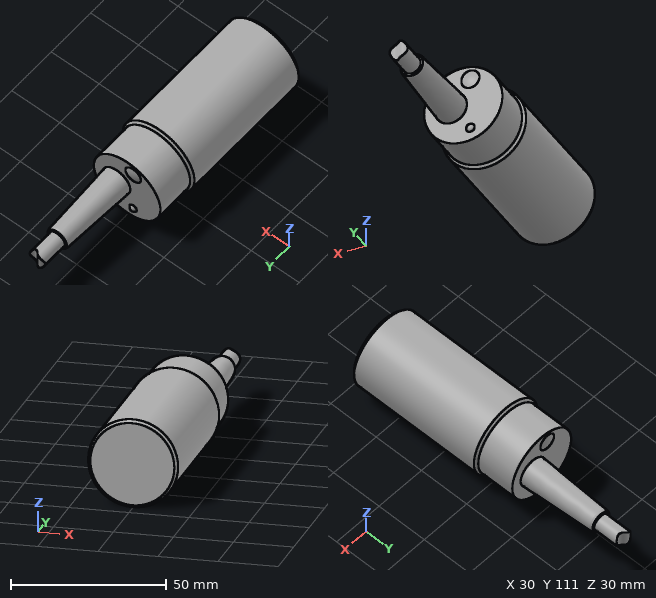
import cadquery as cq

barrel_dia = 30.0
barrel_length = 54.9
front_chamfer = 1.0
shoulder_chamfer = 1.0

cap_dia = 28.0
cap_end = 69.9
rim_bevel_length = 0.9
rim_bevel_width = 0.05

cable_offset = 4.3
boot_base_dia = 11.3
boot_tip_dia = 8.7
boot_end = 100.1
boot_chamfer_length = 1.0
boot_end_dia = 8.1
cable_dia = 6.4
cable_end = 111.0
break_rise = 1.7

dome_x = -2.5
dome_spacing = 18.2
lamp_dia = 3.0
lamp_height = 1.0
trimmer_dia = 6.4
trimmer_height = 0.8


def cylinder(diameter, start, end, x=0):
    """Cylinder along Y between two positions."""
    plane = cq.Plane(origin=(x, start, 0), xDir=(1, 0, 0), normal=(0, 1, 0))
    return cq.Workplane(plane).circle(diameter / 2).extrude(end - start)


def make_body():
    barrel = cylinder(barrel_dia, 0, barrel_length)
    barrel = barrel.faces("<Y").chamfer(front_chamfer)
    barrel = barrel.faces(">Y").chamfer(shoulder_chamfer)
    cap = cylinder(cap_dia, barrel_length, cap_end)
    cap = cap.faces(">Y").chamfer(rim_bevel_length, rim_bevel_width)
    return barrel.union(cap)


def make_boot():
    """Tapered sleeve with a bevelled tip, revolved about the cable axis."""
    return (
        cq.Workplane("XY", origin=(cable_offset, 0, 0))
        .moveTo(0, cap_end)
        .lineTo(boot_base_dia / 2, cap_end)
        .lineTo(boot_tip_dia / 2, boot_end - boot_chamfer_length)
        .lineTo(boot_end_dia / 2, boot_end)
        .lineTo(0, boot_end)
        .close()
        .revolve(360, (0, 0, 0), (0, 1, 0))
    )


def make_cable():
    """Round cable whose end is cut to a wavy break line: one crest, one trough."""
    radius = cable_dia / 2
    middle = cable_end - break_rise / 2
    cable = cylinder(cable_dia, cap_end, cable_end, cable_offset)
    outline = (
        cq.Workplane("XY", origin=(cable_offset, 0, -radius))
        .moveTo(-radius, cap_end)
        .lineTo(-radius, middle)
        .threePointArc((-radius / 2, cable_end), (0, middle))
        .threePointArc((radius / 2, cable_end - break_rise), (radius, middle))
        .lineTo(radius, cap_end)
        .close()
        .extrude(cable_dia)
    )
    return cable.intersect(outline)


def make_dome(diameter, height, z):
    """Spherical cap rising from the rear face of the cap."""
    radius = diameter / 2
    return (
        cq.Workplane("XY", origin=(dome_x, 0, z))
        .moveTo(0, cap_end)
        .lineTo(radius, cap_end)
        .threePointArc(arc_middle(radius, height), (0, cap_end + height))
        .close()
        .revolve(360, (0, 0, 0), (0, 1, 0))
    )


def arc_middle(radius, height):
    """Point on a spherical cap's profile at half its base radius."""
    sphere_radius = (radius**2 + height**2) / (2 * height)
    centre = cap_end + height - sphere_radius
    return (radius / 2, centre + (sphere_radius**2 - (radius / 2) ** 2) ** 0.5)


result = (
    make_body()
    .union(make_boot())
    .union(make_cable())
    .union(make_dome(lamp_dia, lamp_height, -dome_spacing / 2))
    .union(make_dome(trimmer_dia, trimmer_height, dome_spacing / 2))
)